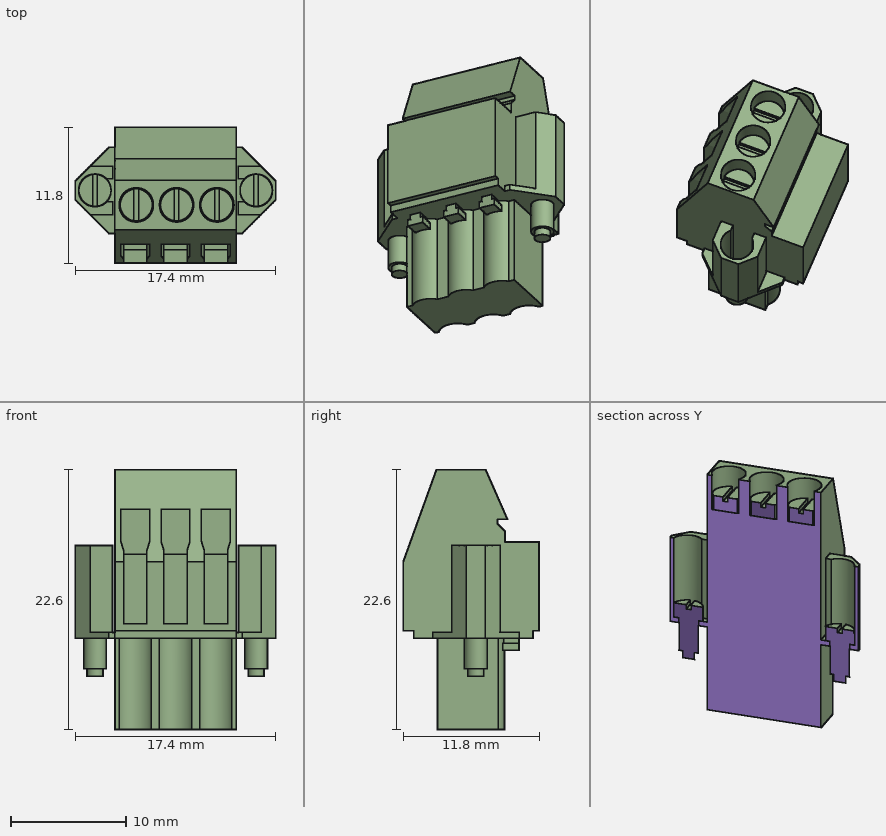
import cadquery as cq
import math


POLE_COUNT = 3
POLE_PITCH = 3.5
POLE_XS = [(i - (POLE_COUNT - 1) / 2) * POLE_PITCH for i in range(POLE_COUNT)]

HEIGHT = 22.6
HOUSING_WIDTH = 10.55
BASE_Z = 7.93
FRONT_Y = -6.33
BACK_Y = 5.5
STEP_HEIGHT = 0.65
FRONT_STEP_DEPTH = 0.93
BACK_STEP_DEPTH = 0.52
FRONT_KNEE_Z = 14.58
TOP_FRONT_Y = -3.44
TOP_BACK_Y = 0.85
SHELF_Z = 16.32
SHELF_INNER_Y = 2.55
NOTCH_Y = 1.9
NOTCH_TOP_Z = 18.28
NOTCH_CORNER_Z = 17.9
NOTCH_TIP_Y = 2.75

PLUG_FRONT_Y = -3.35
PLUG_BACK_Y = 1.97
PLUG_ARC_RADIUS = 1.65
PLUG_LOBE_RISE = 0.55
SCALLOP_WIDTH = 2.8

TAB_STEM_WIDTH = 0.95
TAB_STEM_HEIGHT = 0.43
TAB_HEAD_WIDTH = 1.45
TAB_HEAD_HEIGHT = 0.6

ENTRY_FLOOR_Z = 9.2
ENTRY_WIDTH = 2.03
ENTRY_BACK_Y = -5.15
ENTRY_LEDGE_Z = 15.23
FUNNEL_WIDTH = 2.5
FUNNEL_BACK_Y = -4.68
FUNNEL_TAPER_BOTTOM_Z = 15.6
FUNNEL_TAPER_TOP_Z = 16.36

DRIVER_SLOT_WIDTH = 0.4
DRIVER_SLOT_DEPTH = 0.4
SCREW_HEAD_RADIUS = 1.4
SCREW_HEAD_HEIGHT = 1.35

CLAMP_ROW_SHIFT_X = 0.1
CLAMP_XS = [x + CLAMP_ROW_SHIFT_X for x in POLE_XS]
CLAMP_Y = -1.27
CLAMP_BORE_RADIUS = 1.5
CLAMP_SCREW_RECESS = 1.9
CLAMP_BORE_DEPTH = CLAMP_SCREW_RECESS + SCREW_HEAD_HEIGHT

FLANGE_LENGTH = 17.45
FLANGE_DEPTH = 7.5
FLANGE_TIP_WIDTH = 1.63
FLANGE_CORNER = (FLANGE_DEPTH - FLANGE_TIP_WIDTH) / 2
FLANGE_THICKNESS = 0.52
FLANGE_TOP_Z = BASE_Z + FLANGE_THICKNESS
COLUMN_TOP_Z = 16.02
COLUMN_DEPTH = 4.2
COLUMN_INNER_X = 5.47
COLUMN_OPENING = 2.0

FLANGE_SCREW_X = 7.0
FLANGE_BORE_RADIUS = 1.42
SHANK_RADIUS = 1.0
SHANK_BOTTOM_Z = 5.29
PILOT_RADIUS = 0.7
PILOT_BOTTOM_Z = 4.63


def box(x_size, y_min, y_max, z_min, z_max, x_center=0.0):
    """Box centred on x_center in X, between the given limits in Y and Z."""
    return cq.Workplane("XY").box(x_size, y_max - y_min, z_max - z_min).translate(
        (x_center, (y_min + y_max) / 2, (z_min + z_max) / 2)
    )


def cylinder(x, y, radius, z_min, z_max):
    """Upright cylinder between two heights."""
    return cq.Workplane("XY", origin=(x, y, z_min)).circle(radius).extrude(z_max - z_min)


def make_shell():
    """Side profile of the housing, extruded across the width."""
    step_z = BASE_Z + STEP_HEIGHT
    notch_ramp_z = NOTCH_CORNER_Z - (SHELF_INNER_Y - NOTCH_Y)
    profile = [
        (FRONT_Y + FRONT_STEP_DEPTH, BASE_Z),
        (FRONT_Y + FRONT_STEP_DEPTH, step_z),
        (FRONT_Y, step_z),
        (FRONT_Y, FRONT_KNEE_Z),
        (TOP_FRONT_Y, HEIGHT),
        (TOP_BACK_Y, HEIGHT),
        (NOTCH_TIP_Y, NOTCH_TOP_Z),
        (NOTCH_Y, NOTCH_TOP_Z),
        (NOTCH_Y, NOTCH_CORNER_Z),
        (SHELF_INNER_Y, notch_ramp_z),
        (SHELF_INNER_Y, SHELF_Z),
        (BACK_Y, SHELF_Z),
        (BACK_Y, step_z),
        (BACK_Y - BACK_STEP_DEPTH, step_z),
        (BACK_Y - BACK_STEP_DEPTH, BASE_Z),
    ]
    return cq.Workplane("YZ").polyline(profile).close().extrude(HOUSING_WIDTH / 2, both=True)


def make_plug():
    """Plug block with a rounded lobe at the back and a scallop at the front of each pole."""
    plug = box(HOUSING_WIDTH, PLUG_FRONT_Y, PLUG_BACK_Y, 0, BASE_Z)
    lobe_y = PLUG_BACK_Y + PLUG_LOBE_RISE - PLUG_ARC_RADIUS
    scallop_y = PLUG_FRONT_Y - math.sqrt(PLUG_ARC_RADIUS**2 - (SCALLOP_WIDTH / 2) ** 2)
    for x in POLE_XS:
        plug = plug.union(cylinder(x, lobe_y, PLUG_ARC_RADIUS, 0, BASE_Z))
        plug = plug.cut(cylinder(x, scallop_y, PLUG_ARC_RADIUS, 0, BASE_Z))
    return plug


def make_coding_tab(x):
    """T-shaped tab hanging below the housing behind one lobe."""
    stem_bottom_z = BASE_Z - TAB_STEM_HEIGHT
    head_bottom_z = stem_bottom_z - TAB_HEAD_HEIGHT
    tab_back_y = FLANGE_DEPTH / 2
    stem = box(TAB_STEM_WIDTH, PLUG_BACK_Y, tab_back_y, stem_bottom_z, BASE_Z, x)
    head = box(TAB_HEAD_WIDTH, PLUG_BACK_Y, tab_back_y, head_bottom_z, stem_bottom_z, x)
    return stem.union(head)


def make_flange_outline(z_min, z_max):
    """Outline with chamfered ends of both flanges, between two heights."""
    return box(FLANGE_LENGTH, -FLANGE_DEPTH / 2, FLANGE_DEPTH / 2, z_min, z_max).edges("|Z").chamfer(
        FLANGE_CORNER
    )


def make_column(side):
    """Column on one flange, bored for the screw head and open towards the housing."""
    length = FLANGE_LENGTH / 2 - COLUMN_INNER_X
    center_x = side * (COLUMN_INNER_X + length / 2)
    block = box(length, -COLUMN_DEPTH / 2, COLUMN_DEPTH / 2, FLANGE_TOP_Z, COLUMN_TOP_Z, center_x)
    column = block.intersect(make_flange_outline(FLANGE_TOP_Z, COLUMN_TOP_Z))
    bore = cylinder(side * FLANGE_SCREW_X, 0, FLANGE_BORE_RADIUS, FLANGE_TOP_Z, COLUMN_TOP_Z)
    opening_length = FLANGE_SCREW_X - COLUMN_INNER_X
    opening_x = side * (COLUMN_INNER_X + opening_length / 2)
    opening = box(
        opening_length, -COLUMN_OPENING / 2, COLUMN_OPENING / 2, FLANGE_TOP_Z, COLUMN_TOP_Z, opening_x
    )
    return column.cut(bore).cut(opening)


def make_wire_entry(x):
    """Cutter for one wire entry: a narrow slot below a deeper funnel that widens upwards."""
    slot = box(ENTRY_WIDTH, FRONT_Y, ENTRY_BACK_Y, ENTRY_FLOOR_Z, ENTRY_LEDGE_Z, x)
    half_slot = ENTRY_WIDTH / 2
    half_funnel = FUNNEL_WIDTH / 2
    funnel_outline = [
        (x - half_slot, ENTRY_LEDGE_Z),
        (x + half_slot, ENTRY_LEDGE_Z),
        (x + half_slot, FUNNEL_TAPER_BOTTOM_Z),
        (x + half_funnel, FUNNEL_TAPER_TOP_Z),
        (x + half_funnel, HEIGHT),
        (x - half_funnel, HEIGHT),
        (x - half_funnel, FUNNEL_TAPER_TOP_Z),
        (x - half_slot, FUNNEL_TAPER_BOTTOM_Z),
    ]
    funnel = (
        cq.Workplane("XZ", origin=(0, FUNNEL_BACK_Y, 0))
        .polyline(funnel_outline)
        .close()
        .extrude(FUNNEL_BACK_Y - FRONT_Y)
    )
    return slot.union(funnel)


def make_housing():
    """Housing with plug, coding tabs, flanges, wire entries and screw bores."""
    housing = make_shell().union(make_plug()).union(make_flange_outline(BASE_Z, FLANGE_TOP_Z))
    for x in POLE_XS:
        housing = housing.union(make_coding_tab(x))
        housing = housing.cut(make_wire_entry(x))
    for x in CLAMP_XS:
        housing = housing.cut(cylinder(x, CLAMP_Y, CLAMP_BORE_RADIUS, HEIGHT - CLAMP_BORE_DEPTH, HEIGHT))
    for side in (-1, 1):
        housing = housing.union(make_column(side))
        housing = housing.cut(cylinder(side * FLANGE_SCREW_X, 0, SHANK_RADIUS, BASE_Z, FLANGE_TOP_Z))
    return housing


def make_screw_head(x, y, bottom_z):
    """Round head with a driver slot along Y."""
    top_z = bottom_z + SCREW_HEAD_HEIGHT
    head = cylinder(x, y, SCREW_HEAD_RADIUS, bottom_z, top_z)
    slot = box(
        DRIVER_SLOT_WIDTH, y - SCREW_HEAD_RADIUS, y + SCREW_HEAD_RADIUS, top_z - DRIVER_SLOT_DEPTH, top_z, x
    )
    return head.cut(slot)


def make_clamp_screw(x):
    """Clamp screw resting on the floor of its bore."""
    return make_screw_head(x, CLAMP_Y, HEIGHT - CLAMP_BORE_DEPTH)


def make_flange_screw(x):
    """Flange screw whose head rests on the flange plate, with a stepped shank through it."""
    head = make_screw_head(x, 0, FLANGE_TOP_Z)
    shank = cylinder(x, 0, SHANK_RADIUS, SHANK_BOTTOM_Z, FLANGE_TOP_Z)
    pilot = cylinder(x, 0, PILOT_RADIUS, PILOT_BOTTOM_Z, SHANK_BOTTOM_Z)
    return head.union(shank).union(pilot)


housing = make_housing()
clamp_screws = [make_clamp_screw(x) for x in CLAMP_XS]
flange_screws = [make_flange_screw(side * FLANGE_SCREW_X) for side in (-1, 1)]

result = cq.Compound.makeCompound(
    [housing.val()]
    + [screw.val() for screw in clamp_screws]
    + [screw.val() for screw in flange_screws]
)